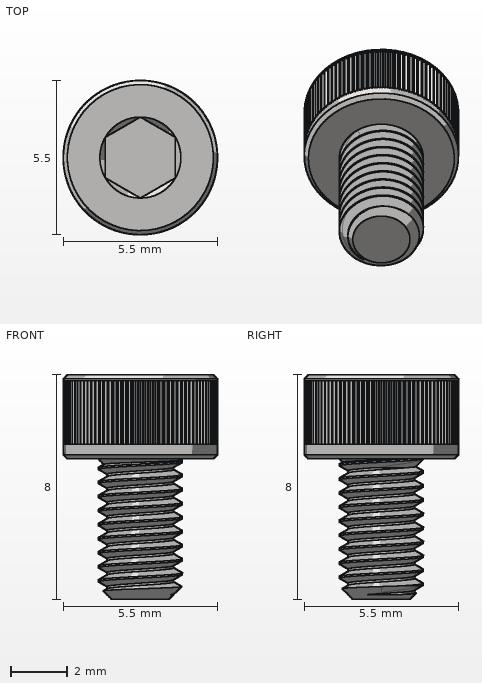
import math

import cadquery as cq


HEAD_DIAMETER = 5.5
HEAD_HEIGHT = 3.0
HEAD_CHAMFER = 0.15

GROOVE_COUNT = 96
GROOVE_WIDTH = 0.143
GROOVE_ANGLE = 88.0
KNURL_TOP = HEAD_HEIGHT - 0.22
KNURL_BOTTOM = 0.52

SOCKET_ACROSS_FLATS = 2.5
SOCKET_DEPTH = 1.5
LEAD_IN_ANGLE = 90.0

THREAD_DIAMETER = 3.0
PITCH = 0.5
THREAD_ANGLE = 60.0
SHANK_LENGTH = 5.0
TIP_CHAMFER = 0.48
CREST_DROP_AT_X = 0.085
RIDGE_OVERLAP = 0.03
CUT_MARGIN = 0.1
JOIN_TOLERANCE = 1e-4

HEAD_RADIUS = HEAD_DIAMETER / 2
SOCKET_CORNER_RADIUS = SOCKET_ACROSS_FLATS / 2 / math.cos(math.pi / 6)
THREAD_RADIUS = THREAD_DIAMETER / 2
FLANK_SLOPE = math.tan(math.radians(THREAD_ANGLE / 2))
SHARP_V_HEIGHT = PITCH / 2 / FLANK_SLOPE
CREST_WIDTH = PITCH / 8
ROOT_DEPTH = SHARP_V_HEIGHT * 17 / 24
CORE_RADIUS = THREAD_RADIUS - ROOT_DEPTH
SHANK_TOP = PITCH / 2


def make_head():
    """Cylinder with both rims chamfered."""
    return cq.Workplane("XY").circle(HEAD_RADIUS).extrude(HEAD_HEIGHT).edges().chamfer(HEAD_CHAMFER)


def make_knurl_grooves():
    """Ring of triangular prisms; one groove faces each of the four axis directions."""
    side_slope = math.tan(math.radians(GROOVE_ANGLE / 2))
    depth = GROOVE_WIDTH / 2 / side_slope
    land_edge_radius = math.sqrt(HEAD_RADIUS**2 - (GROOVE_WIDTH / 2) ** 2)
    outer_half_width = GROOVE_WIDTH / 2 + CUT_MARGIN * side_slope
    groove = (
        cq.Workplane("XY", origin=(0, 0, KNURL_BOTTOM))
        .moveTo(land_edge_radius - depth, 0)
        .lineTo(land_edge_radius + CUT_MARGIN, outer_half_width)
        .lineTo(land_edge_radius + CUT_MARGIN, -outer_half_width)
        .close()
        .extrude(KNURL_TOP - KNURL_BOTTOM)
        .val()
    )
    step = 360 / GROOVE_COUNT
    return [groove.rotate(cq.Vector(0, 0, 0), cq.Vector(0, 0, 1), i * step) for i in range(GROOVE_COUNT)]


def make_socket():
    """Hexagon with corners on the Y axis, opened by a cone through those corners."""
    hexagon = (
        cq.Workplane("XY", origin=(0, 0, HEAD_HEIGHT))
        .transformed(rotate=(0, 0, 90))
        .polygon(6, 2 * SOCKET_CORNER_RADIUS)
        .extrude(-SOCKET_DEPTH)
    )
    cone_depth = SOCKET_CORNER_RADIUS / math.tan(math.radians(LEAD_IN_ANGLE / 2))
    cone = (
        cq.Workplane("XZ")
        .moveTo(0, HEAD_HEIGHT)
        .lineTo(SOCKET_CORNER_RADIUS, HEAD_HEIGHT)
        .lineTo(0, HEAD_HEIGHT - cone_depth)
        .close()
        .revolve(360, (0, 0), (0, 1))
    )
    return hexagon.union(cone)


def make_thread_ridge():
    """Right-hand helical ridge running from inside the head to beyond the tip."""
    turns_below = math.ceil(SHANK_LENGTH / PITCH) + 1
    start_z = -CREST_DROP_AT_X - turns_below * PITCH
    helix_height = (turns_below + 1) * PITCH
    base_radius = CORE_RADIUS - RIDGE_OVERLAP
    crest_half = CREST_WIDTH / 2
    base_half = crest_half + (THREAD_RADIUS - base_radius) * FLANK_SLOPE
    path = cq.Wire.makeHelix(PITCH, helix_height, THREAD_RADIUS, cq.Vector(0, 0, start_z))
    return (
        cq.Workplane("XZ")
        .moveTo(base_radius, start_z - base_half)
        .lineTo(THREAD_RADIUS, start_z - crest_half)
        .lineTo(THREAD_RADIUS, start_z + crest_half)
        .lineTo(base_radius, start_z + base_half)
        .close()
        .sweep(cq.Workplane(path), isFrenet=True)
    )


def make_threaded_rod():
    """Root cylinder fused with the ridge; its seam is a quarter turn from the ridge's start."""
    ridge = make_thread_ridge()
    core = (
        cq.Workplane("XY", origin=(0, 0, -SHANK_LENGTH - PITCH))
        .circle(CORE_RADIUS)
        .extrude(SHANK_LENGTH + 2 * PITCH)
        .rotate((0, 0, 0), (0, 0, 1), 90)
    )
    return core.union(ridge, tol=JOIN_TOLERANCE)


def make_neck():
    """45 degree cone that tapers from the thread diameter under the head into the core."""
    return (
        cq.Workplane("YZ")
        .moveTo(0, 0)
        .lineTo(THREAD_RADIUS, 0)
        .lineTo(0, -THREAD_RADIUS)
        .close()
        .revolve(360, (0, 0), (0, 1))
    )


def make_shank_envelope():
    """Space the shank may fill: square top inside the head, 45 degree chamfer at the tip."""
    outer_radius = THREAD_RADIUS + CUT_MARGIN
    return (
        cq.Workplane("XZ")
        .moveTo(0, SHANK_TOP)
        .lineTo(outer_radius, SHANK_TOP)
        .lineTo(outer_radius, TIP_CHAMFER + CUT_MARGIN - SHANK_LENGTH)
        .lineTo(THREAD_RADIUS - TIP_CHAMFER, -SHANK_LENGTH)
        .lineTo(0, -SHANK_LENGTH)
        .close()
        .revolve(360, (0, 0), (0, 1))
    )


knurl_cutter = cq.Workplane(cq.Compound.makeCompound(make_knurl_grooves()))
head = make_head().cut(knurl_cutter).cut(make_socket())
shank = make_threaded_rod().intersect(make_shank_envelope())
screw = head.union(make_neck()).union(shank)
result = cq.Workplane(screw.solids().val())